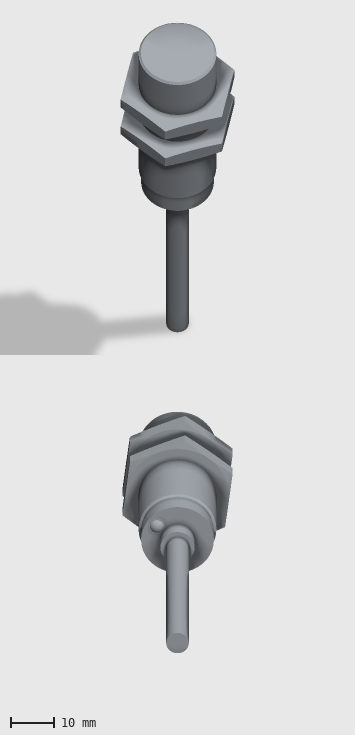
import cadquery as cq
import math

total_height = 104.8

barrel_diameter = 18.0
barrel_bottom = 59.8
face_diameter = 17.0
face_chamfer_height = 0.5
rear_chamfer_height = 0.6

cap_diameter = 16.9
cap_bottom = 54.8
sleeve_diameter = 8.0
sleeve_bottom = 50.7
cable_diameter = 5.2

lamp_offset = 6.0
collar_diameter = 3.8
collar_thickness = 0.3
lens_diameter = 3.2
lens_height = 1.2

nut_across_flats = 24.0
nut_across_corners = nut_across_flats / math.cos(math.radians(30))
nut_thickness = 3.9
nut_face_diameter = 23.8
nut_corner_drop = 0.4
lower_nut_bottom = 78.5
nut_spacing = 10.4
nut_count = 2


def make_sensor():
    """Barrel, cap, sleeve and cable turned as one stepped profile, plus the lamp."""
    barrel_radius = barrel_diameter / 2
    cap_radius = cap_diameter / 2
    sleeve_radius = sleeve_diameter / 2
    cable_radius = cable_diameter / 2
    profile = [
        (0, 0),
        (cable_radius, 0),
        (cable_radius, sleeve_bottom),
        (sleeve_radius, sleeve_bottom),
        (sleeve_radius, cap_bottom),
        (cap_radius, cap_bottom),
        (cap_radius, barrel_bottom),
        (barrel_radius, barrel_bottom + rear_chamfer_height),
        (barrel_radius, total_height - face_chamfer_height),
        (face_diameter / 2, total_height),
        (0, total_height),
    ]
    turned = cq.Workplane("XZ").polyline(profile).close().revolve(360, (0, 0, 0), (0, 1, 0))
    return turned.union(make_lamp())


def make_lamp():
    """Collar and domed lens, turned about a vertical axis beside the cable sleeve."""
    collar_radius = collar_diameter / 2
    lens_radius = lens_diameter / 2
    lens_tip = -collar_thickness - lens_height
    ball_radius = (lens_radius**2 + lens_height**2) / (2 * lens_height)
    half_angle = math.asin(lens_radius / ball_radius) / 2
    arc_middle = (
        ball_radius * math.sin(half_angle),
        lens_tip + ball_radius * (1 - math.cos(half_angle)),
    )
    lamp = (
        cq.Workplane("XZ")
        .moveTo(0, 0)
        .lineTo(collar_radius, 0)
        .lineTo(collar_radius, -collar_thickness)
        .lineTo(lens_radius, -collar_thickness)
        .threePointArc(arc_middle, (0, lens_tip))
        .close()
        .revolve(360, (0, 0, 0), (0, 1, 0))
    )
    return lamp.translate((0, lamp_offset, cap_bottom))


def make_nut(bottom):
    """Hexagon nut with corners on the Y axis, bevelled top and bottom, bored to fit the barrel."""
    hexagon = (
        cq.Workplane("XY")
        .polygon(6, nut_across_corners)
        .extrude(nut_thickness)
        .rotate((0, 0, 0), (0, 0, 1), 30)
    )
    face_radius = nut_face_diameter / 2
    corner_radius = nut_across_corners / 2
    bevel_profile = [
        (0, 0),
        (face_radius, 0),
        (corner_radius, nut_corner_drop),
        (corner_radius, nut_thickness - nut_corner_drop),
        (face_radius, nut_thickness),
        (0, nut_thickness),
    ]
    bevel = cq.Workplane("XZ").polyline(bevel_profile).close().revolve(360, (0, 0, 0), (0, 1, 0))
    bore = cq.Workplane("XY").circle(barrel_diameter / 2).extrude(nut_thickness)
    return hexagon.intersect(bevel).cut(bore).translate((0, 0, bottom))


sensor = make_sensor()
nuts = [make_nut(lower_nut_bottom + i * nut_spacing) for i in range(nut_count)]

result = cq.Compound.makeCompound([sensor.val(), *[nut.val() for nut in nuts]])